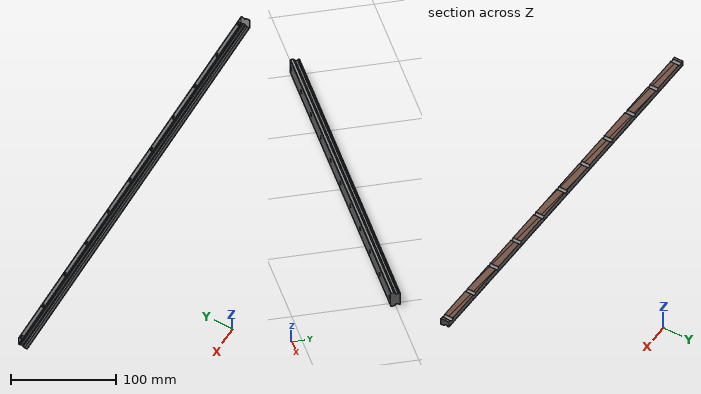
import cadquery as cq

length = 410.0
depth = 9.5
height = 15.0
front_chamfer = 0.5
back_chamfer = 0.5

flange_depth = 3.0
flank_depth = 4.5
flank_height = 13.2
break_depth = 4.8
break_height = 12.4
neck_depth = 5.3
neck_height = 11.2
groove_end_depth = 7.2
lip_depth = 7.9
lip_height = 13.0

hole_diameter = 3.5
hole_pitch = 40.0
end_margin = 5.0
hole_count = round((length - 2 * end_margin) / hole_pitch) + 1


def rail_body():
    """Extrude the grooved section, symmetric about the XY plane, along X."""
    upper = [
        (0, height / 2 - front_chamfer),
        (front_chamfer, height / 2),
        (flange_depth, height / 2),
        (flank_depth, flank_height / 2),
        (break_depth, break_height / 2),
        (neck_depth, neck_height / 2),
        (groove_end_depth, neck_height / 2),
        (lip_depth, lip_height / 2),
        (depth - back_chamfer, lip_height / 2),
        (depth, lip_height / 2 - back_chamfer),
    ]
    lower = [(y, -z) for y, z in reversed(upper)]
    return cq.Workplane("YZ").polyline(upper + lower).close().extrude(length)


def mounting_holes():
    """Cylinders along Y at equal pitch, starting one margin from the rail end."""
    centres = [(end_margin + i * hole_pitch, 0) for i in range(hole_count)]
    return cq.Workplane("XZ").pushPoints(centres).circle(hole_diameter / 2).extrude(-depth)


result = rail_body().cut(mounting_holes())